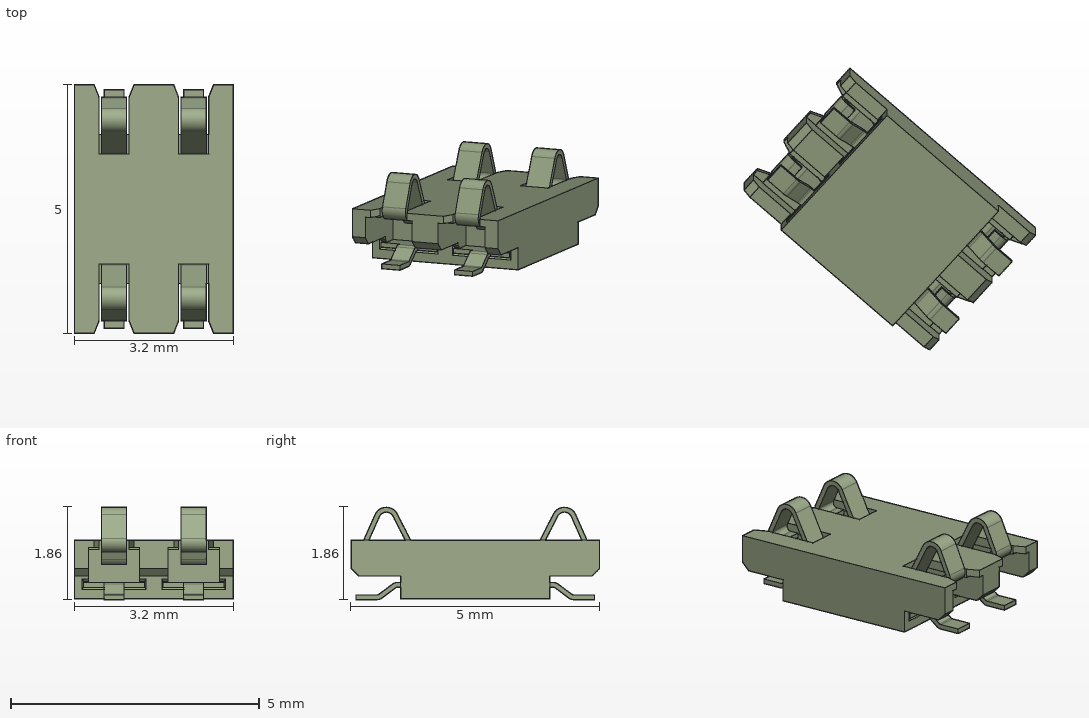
import cadquery as cq
import math


WIDTH = 3.2
LENGTH = 5.0
HOUSING_BOTTOM = 0.02
HOUSING_TOP = 1.2
BASE_LENGTH = 3.0
OVERHANG_BOTTOM = 0.475
END_CHAMFER = 0.155
PITCH = 1.6

SLOT_WIDTH = 0.6
SLOT_MOUTH_WIDTH = 0.8
SLOT_FLARE_LENGTH = 0.25
CHAMBER_WIDTH = 1.03
CHAMBER_BACK = 1.11
CHAMBER_CEILING = 1.015
MOUTH_CEILING = 1.05

THICKNESS = 0.1
SPRING_WIDTH = 0.51
SPRING_TOP = 1.86
APEX_Y = 1.79
APEX_RADIUS = 0.25
OUTER_LEG_ANGLE = 66.0
INNER_LEG_ANGLE = 63.0
HOOK_START = 1.235
HOOK_RADIUS = 0.195
HOOK_TAIL = 0.17
TAIL_BOTTOM = 0.682
ROOT_RADIUS = 0.23
ANCHOR_END = 0.9

PLATE_WIDTH = 1.23
PLATE_TOP = 0.35
FOOT_WIDTH = 0.4
FOOT_END = 2.4
FOOT_BEND_Y = 1.955
NECK_BEND_Y = 1.62
FOOT_BEND_RADIUS = 0.06
SOCKET_WIDTH = 1.28
SOCKET_HEIGHT = 0.21
SOCKET_CENTER_Z = 0.315
SOCKET_THROAT_HEIGHT = 0.11
SOCKET_DEPTH = 0.05

HALF_LENGTH = LENGTH / 2
BASE_END = BASE_LENGTH / 2


def extrude_along_x(profile, width, x):
    """Solid of the given width centred at x from a closed (Y, Z) profile."""
    return profile.extrude(width / 2, both=True).translate((x, 0, 0))


def box_between(width, y_range, z_range, x):
    size_y = y_range[1] - y_range[0]
    size_z = z_range[1] - z_range[0]
    box = cq.Workplane("XY").box(width, size_y, size_z, centered=(True, False, False))
    return box.translate((x, y_range[0], z_range[0]))


def on_circle(center, radius, degrees):
    angle = math.radians(degrees)
    return (center[0] + radius * math.cos(angle), center[1] + radius * math.sin(angle))


def housing_body():
    base = box_between(WIDTH, (-BASE_END, BASE_END), (HOUSING_BOTTOM, HOUSING_TOP), 0)
    top = box_between(WIDTH, (-HALF_LENGTH, HALF_LENGTH), (OVERHANG_BOTTOM, HOUSING_TOP), 0)
    top = top.faces("<Z").edges("|X").chamfer(END_CHAMFER)
    return base.union(top)


def chamber(x):
    """Space cut from the +Y end: chamber, raised mouth ceiling and flared top slot."""
    flare_start = HALF_LENGTH - SLOT_FLARE_LENGTH
    room = box_between(CHAMBER_WIDTH, (CHAMBER_BACK, HALF_LENGTH), (PLATE_TOP, CHAMBER_CEILING), x)
    mouth = box_between(CHAMBER_WIDTH, (flare_start, HALF_LENGTH), (PLATE_TOP, MOUTH_CEILING), x)
    half_slot = SLOT_WIDTH / 2
    half_mouth = SLOT_MOUTH_WIDTH / 2
    slot = (
        cq.Workplane("XY")
        .polyline([
            (x - half_slot, CHAMBER_BACK),
            (x + half_slot, CHAMBER_BACK),
            (x + half_slot, flare_start),
            (x + half_mouth, HALF_LENGTH),
            (x - half_mouth, HALF_LENGTH),
            (x - half_slot, flare_start),
        ])
        .close()
        .extrude(HOUSING_TOP - PLATE_TOP)
        .translate((0, 0, PLATE_TOP))
    )
    return room.union(mouth).union(slot)


def socket_bevel(x):
    """Bevelled mouth around the terminal plate, narrowing from the base's end face."""
    return (
        cq.Workplane("XZ", origin=(x, BASE_END, SOCKET_CENTER_Z))
        .rect(SOCKET_WIDTH, SOCKET_HEIGHT)
        .workplane(offset=SOCKET_DEPTH)
        .rect(PLATE_WIDTH, SOCKET_THROAT_HEIGHT)
        .loft(ruled=True)
    )


def spring(x):
    """Bow-shaped strip: rooted in the rear wall, over the apex, curled into a hook."""
    outer_tilt = 90 - OUTER_LEG_ANGLE
    inner_tilt = 90 - INNER_LEG_ANGLE
    outer_slope = math.tan(math.radians(OUTER_LEG_ANGLE))
    inner_slope = math.tan(math.radians(INNER_LEG_ANGLE))
    inside_apex = APEX_RADIUS - THICKNESS
    inside_hook = HOOK_RADIUS - THICKNESS
    inside_root = ROOT_RADIUS - THICKNESS

    apex = (APEX_Y, SPRING_TOP - APEX_RADIUS)
    outer_leg_top = on_circle(apex, APEX_RADIUS, outer_tilt)
    inner_leg_top = on_circle(apex, inside_apex, 180 - inner_tilt)

    hook_start_y = outer_leg_top[0] + (outer_leg_top[1] - HOOK_START) / outer_slope
    hook = on_circle((hook_start_y, HOOK_START), HOOK_RADIUS, outer_tilt + 180)
    hook_middle = (outer_tilt - 90) / 2
    tail_end = hook[0] - HOOK_TAIL

    root_start_z = TAIL_BOTTOM + ROOT_RADIUS * (1 - math.sin(math.radians(inner_tilt)))
    root_start_y = inner_leg_top[0] - (inner_leg_top[1] - root_start_z) / inner_slope
    root = on_circle((root_start_y, root_start_z), ROOT_RADIUS, 180 - inner_tilt)
    root_middle = (-90 - inner_tilt) / 2

    profile = (
        cq.Workplane("YZ")
        .moveTo(ANCHOR_END, TAIL_BOTTOM)
        .lineTo(*on_circle(root, ROOT_RADIUS, -90))
        .threePointArc(on_circle(root, ROOT_RADIUS, root_middle), (root_start_y, root_start_z))
        .lineTo(*inner_leg_top)
        .threePointArc(on_circle(apex, inside_apex, 90), on_circle(apex, inside_apex, outer_tilt))
        .lineTo(*on_circle(hook, inside_hook, outer_tilt))
        .threePointArc(on_circle(hook, inside_hook, hook_middle), on_circle(hook, inside_hook, -90))
        .lineTo(tail_end, hook[1] - inside_hook)
        .lineTo(tail_end, hook[1] - HOOK_RADIUS)
        .lineTo(*on_circle(hook, HOOK_RADIUS, -90))
        .threePointArc(on_circle(hook, HOOK_RADIUS, hook_middle), (hook_start_y, HOOK_START))
        .lineTo(*outer_leg_top)
        .threePointArc(on_circle(apex, APEX_RADIUS, 90), on_circle(apex, APEX_RADIUS, 180 - inner_tilt))
        .lineTo(*on_circle(root, inside_root, -inner_tilt))
        .threePointArc(on_circle(root, inside_root, root_middle), on_circle(root, inside_root, -90))
        .lineTo(ANCHOR_END, TAIL_BOTTOM + THICKNESS)
        .close()
    )
    return extrude_along_x(profile, SPRING_WIDTH, x)


def terminal(x):
    """Flat plate held in the base, with a narrower foot stepped down to Z = 0."""
    plate_bottom = PLATE_TOP - THICKNESS
    plate = box_between(PLATE_WIDTH, (ANCHOR_END, BASE_END), (plate_bottom, PLATE_TOP), x)
    ramp_angle = math.atan2(plate_bottom, FOOT_BEND_Y - NECK_BEND_Y)
    shift = THICKNESS * math.tan(ramp_angle / 2)
    neck_top = (NECK_BEND_Y, PLATE_TOP)
    neck_bottom = (NECK_BEND_Y - shift, plate_bottom)
    foot_top = (FOOT_BEND_Y, THICKNESS)
    foot_bottom = (FOOT_BEND_Y - shift, 0)
    profile = (
        cq.Workplane("YZ")
        .moveTo(ANCHOR_END, PLATE_TOP)
        .lineTo(*neck_top)
        .lineTo(*foot_top)
        .lineTo(FOOT_END, THICKNESS)
        .lineTo(FOOT_END, 0)
        .lineTo(*foot_bottom)
        .lineTo(*neck_bottom)
        .lineTo(ANCHOR_END, plate_bottom)
        .close()
    )
    foot = extrude_along_x(profile, FOOT_WIDTH, x)
    inside = FOOT_BEND_RADIUS
    outside = FOOT_BEND_RADIUS + THICKNESS
    bends = ((neck_top, outside), (neck_bottom, inside), (foot_top, inside), (foot_bottom, outside))
    for (y, z), radius in bends:
        foot = foot.edges(cq.selectors.NearestToPointSelector((x, y, z))).fillet(radius)
    return plate.union(foot)


result = housing_body()
for contact_x in (-PITCH / 2, PITCH / 2):
    cutout = chamber(contact_x).union(socket_bevel(contact_x))
    contact = spring(contact_x).union(terminal(contact_x))
    result = result.cut(cutout).cut(cutout.mirror("XZ"))
    result = result.union(contact).union(contact.mirror("XZ"))